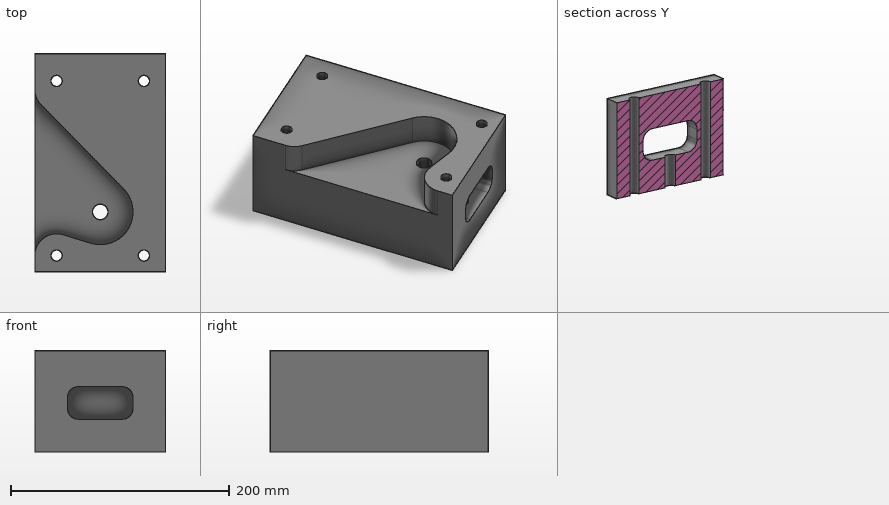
import cadquery as cq
import math

LENGTH_X = 120.0
LENGTH_Y = 200.0
HEIGHT = 93.0

MOUNT_DIAMETER = 10.0
MOUNT_X = 40.0
MOUNT_FRONT_Y = -85.0
MOUNT_BACK_Y = 75.0

PIVOT_DIAMETER = 14.0
PIVOT_CENTER = (0.0, -45.0)
POCKET_DEPTH = 30.0
POCKET_RADIUS = 30.0
SHOULDER_RADIUS = 20.0
SHOULDER_X = -LENGTH_X / 2 + SHOULDER_RADIUS
FRONT_SHOULDER = (SHOULDER_X, MOUNT_FRONT_Y)
BACK_SHOULDER = (SHOULDER_X, 67.25)

SLOT_WIDTH = 60.0
SLOT_HEIGHT = 30.0
SLOT_FLOOR_Z = 30.0
SLOT_CORNER_RADIUS = 10.0
SLOT_DEPTH = 34.0
DRAIN_DIAMETER = 12.0
DRAIN_CENTER = (0.0, -LENGTH_Y / 2 + SLOT_DEPTH / 2)


def on_circle(center, radius, angle):
    """Point on a circle, with the angle in radians from +X."""
    return (center[0] + radius * math.cos(angle), center[1] + radius * math.sin(angle))


def crossing_tangent_angle(shoulder, side):
    """Direction from the pivot to where a line tangent to both the pocket end and a
    shoulder touches the pocket end; the two circles lie on opposite sides of the line.
    side is -1 to turn clockwise from the shoulder direction, +1 to turn counterclockwise."""
    dx = shoulder[0] - PIVOT_CENTER[0]
    dy = shoulder[1] - PIVOT_CENTER[1]
    spread = math.acos((POCKET_RADIUS + SHOULDER_RADIUS) / math.hypot(dx, dy))
    return math.atan2(dy, dx) + side * spread


def make_block():
    return cq.Workplane("XY").box(LENGTH_X, LENGTH_Y, HEIGHT, centered=(True, True, False))


def make_pocket():
    back_angle = crossing_tangent_angle(BACK_SHOULDER, -1)
    front_angle = crossing_tangent_angle(FRONT_SHOULDER, 1)
    middle_angle = (back_angle + front_angle) / 2

    back_touch = back_angle + math.pi
    front_touch = front_angle + math.pi
    back_middle = (math.pi + back_touch) / 2
    front_middle = (math.pi + front_touch) / 2

    return (
        cq.Workplane("XY", origin=(0, 0, HEIGHT - POCKET_DEPTH))
        .moveTo(*on_circle(BACK_SHOULDER, SHOULDER_RADIUS, math.pi))
        .threePointArc(
            on_circle(BACK_SHOULDER, SHOULDER_RADIUS, back_middle),
            on_circle(BACK_SHOULDER, SHOULDER_RADIUS, back_touch),
        )
        .lineTo(*on_circle(PIVOT_CENTER, POCKET_RADIUS, back_angle))
        .threePointArc(
            on_circle(PIVOT_CENTER, POCKET_RADIUS, middle_angle),
            on_circle(PIVOT_CENTER, POCKET_RADIUS, front_angle),
        )
        .lineTo(*on_circle(FRONT_SHOULDER, SHOULDER_RADIUS, front_touch))
        .threePointArc(
            on_circle(FRONT_SHOULDER, SHOULDER_RADIUS, front_middle),
            on_circle(FRONT_SHOULDER, SHOULDER_RADIUS, math.pi),
        )
        .close()
        .extrude(POCKET_DEPTH)
    )


def make_slot():
    return (
        cq.Workplane("XY", origin=(0, -LENGTH_Y / 2, SLOT_FLOOR_Z))
        .box(SLOT_WIDTH, SLOT_DEPTH, SLOT_HEIGHT, centered=(True, False, False))
        .edges("|Y")
        .fillet(SLOT_CORNER_RADIUS)
    )


def make_vertical_hole(center, diameter, height):
    """Round cutter rising from the bottom face."""
    return cq.Workplane("XY").center(*center).circle(diameter / 2).extrude(height)


result = make_block().cut(make_pocket()).cut(make_slot())

result = result.cut(make_vertical_hole(PIVOT_CENTER, PIVOT_DIAMETER, HEIGHT))
result = result.cut(make_vertical_hole(DRAIN_CENTER, DRAIN_DIAMETER, SLOT_FLOOR_Z))

for mount_x in (-MOUNT_X, MOUNT_X):
    for mount_y in (MOUNT_FRONT_Y, MOUNT_BACK_Y):
        result = result.cut(make_vertical_hole((mount_x, mount_y), MOUNT_DIAMETER, HEIGHT))